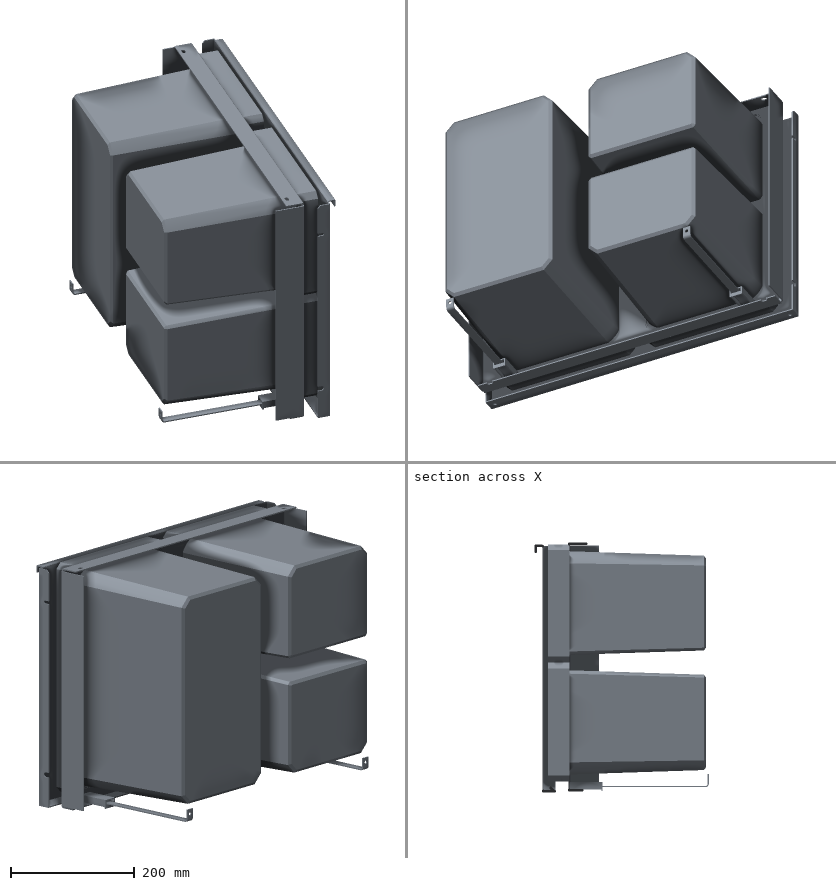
import cadquery as cq
import math

overall_width = 560.0
overall_depth = 280.5
overall_height = 402.0
sheet = 2.0
top_z = overall_height / 2
bottom_z = -overall_height / 2
back_y = overall_depth / 2
front_y = -overall_depth / 2

panel_back_y = 129.0
panel_flange_y = 107.5
panel_top_z = 196.0
panel_bend = 1.5
flange_corner = 4.5
hook_width = 544.5
hook_top_z = 197.5
hook_lip_z = 185.5
hook_root_z = 190.5
hook_bend = 4.0
lip_back_y = 116.5
notch_end_y = 117.5
notch_z_and_width = [(141.5, 5.0), (-147.0, 8.5)]
drain_x = 269.0
drain_y = 119.0
drain_diameter = 5.5

frame_width = 549.0
frame_back_y = 87.0
frame_face_y = frame_back_y - sheet
frame_bend = 4.0
bar_bend = 1.5
strap_front_y = 37.5
strap_top_z = 197.0
strap_bottom_z = -195.5
bar_width = 541.0
bar_front_y = 56.5
foot_front_y = 63.0
foot_bottom_z = -199.5
bar_slot_x = 250.0
bar_slot_y = 65.0
bar_slot_length = 10.0
bar_slot_width = 6.0

bin_x = 130.5
collar_width = 233.0
collar_back_y = 119.0
collar_top_z = top_z - sheet
collar_bottom_z = -184.0
collar_split_z = 8.0
collar_chamfer = 9.5
window_width = 215.0
window_top_z = 191.5
window_bottom_z = -177.5
window_radius = 21.0
window_step = 2.0
bin_width = 209.5
bin_draft = 7.0
bin_outer_margin = 11.0
bin_inner_margin = 12.5
bin_floor_y = -136.0
outer_mouth_corner = 19.5
inner_mouth_corner = 5.5
outer_floor_corner = 15.5
inner_floor_corner = 4.5
corner_arc_inset = 0.42
floor_corner_loss = 3.5
floor_bevel_side = 5.0
floor_bevel_depth = 3.65

guide_x = 215.5
rail_width = 13.5
rail_top_z = -191.5
rail_bottom_z = rail_top_z - sheet
rail_tab_top_z = -172.5
rail_bend = 5.5
rail_hole_z = -180.5
rail_hole_diameter = 5.5
holder_width = 22.5
holder_top_z = -185.5
holder_front_y = 31.5
holder_bottom_z = foot_bottom_z + sheet
holder_sill_bottom_z = -200.0


def block(x_range, y_range, z_range):
    """Box between the given limits."""
    size = [high - low for low, high in (x_range, y_range, z_range)]
    return cq.Workplane("XY").box(*size, centered=False).translate((x_range[0], y_range[0], z_range[0]))


def centred(width, middle=0.0):
    """Limits of a span of the given width."""
    return (middle - width / 2, middle + width / 2)


def side_profile(points, width):
    """Extrude a closed (y, z) outline along X, centred on X = 0."""
    return cq.Workplane("YZ").polyline(points).close().extrude(width / 2, both=True)


def make_panel():
    side_z = (bottom_z, panel_top_z)
    panel = block(centred(overall_width), (panel_flange_y, panel_back_y), side_z)
    panel = panel.edges(">Y and |Z").fillet(panel_bend)
    inside = block(
        centred(overall_width - 2 * sheet),
        (panel_flange_y, panel_back_y - sheet),
        side_z,
    )
    panel = panel.edges("|X and <Y and >Z").chamfer(flange_corner).cut(inside)

    shelf_top_z = bottom_z + sheet
    shelf = block(
        centred(overall_width - 2 * sheet),
        (panel_flange_y, panel_back_y - sheet),
        (bottom_z, shelf_top_z),
    )
    lip_run = lip_back_y - panel_flange_y
    lip_step = sheet * math.sqrt(2)
    lip = side_profile(
        [
            (panel_flange_y, bottom_z),
            (lip_back_y, bottom_z + lip_run),
            (lip_back_y, bottom_z + lip_run - lip_step),
            (panel_flange_y + lip_step, bottom_z),
        ],
        overall_width,
    )
    hook = side_profile(
        [
            (panel_back_y - sheet, hook_root_z),
            (panel_back_y - sheet, hook_top_z),
            (back_y, hook_top_z),
            (back_y, hook_lip_z),
            (back_y - sheet, hook_lip_z),
            (back_y - sheet, hook_top_z - sheet),
            (panel_back_y, hook_top_z - sheet),
            (panel_back_y, hook_root_z),
        ],
        hook_width,
    )
    hook = hook.edges("|X and >Z and <Y").fillet(hook_bend)
    hook = hook.edges("|X and >Z and >Y").fillet(panel_bend)
    panel = panel.union(shelf).union(lip).union(hook)

    for z, width in notch_z_and_width:
        centre_y = notch_end_y - width / 2
        notch = cq.Workplane("YZ").center(centre_y, z).circle(width / 2).extrude(overall_width, both=True)
        mouth = block(centred(overall_width), (panel_flange_y, centre_y), centred(width, z))
        panel = panel.cut(notch).cut(mouth)

    drains = (
        cq.Workplane("XY", origin=(0, 0, bottom_z))
        .pushPoints([(-drain_x, drain_y), (drain_x, drain_y)])
        .circle(drain_diameter / 2)
        .extrude(sheet)
    )
    return panel.cut(drains)


def make_collar(side, z_range):
    """Outer block of a bin collar with chamfered corners."""
    collar = block(centred(collar_width, side * bin_x), (frame_face_y, collar_back_y), z_range)
    return collar.edges("|Y").chamfer(collar_chamfer)


def make_window(side):
    """Rounded opening as deep as the frame plate, narrowing by a step halfway in."""
    step_y = (frame_face_y + frame_back_y) / 2
    window = cq.Workplane()
    for inset, deep_y in [(0, step_y), (window_step, frame_back_y)]:
        opening = block(
            centred(window_width - 2 * inset, side * bin_x),
            (frame_face_y, deep_y),
            (window_bottom_z + inset, window_top_z - inset),
        )
        window = window.add(opening.edges("|Y").fillet(window_radius - inset))
    return window.combine()


def make_frame(collars, windows):
    inner_bend = frame_bend - sheet
    frame = block(
        centred(frame_width), (strap_front_y, frame_back_y), (strap_bottom_z, strap_top_z)
    ).edges("|Z and >Y").fillet(frame_bend)
    bars = block(
        centred(bar_width), (bar_front_y, frame_back_y), (foot_bottom_z, top_z)
    ).edges("|X and >Y").fillet(bar_bend)
    inside = block(
        centred(frame_width - 2 * sheet),
        (bar_front_y, frame_face_y),
        (foot_bottom_z + sheet, top_z - sheet),
    )
    between_straps = block(
        centred(frame_width - 2 * sheet),
        (strap_front_y, frame_face_y),
        (strap_bottom_z, strap_top_z),
    ).edges("|Z and >Y").fillet(inner_bend)
    foot_trim = block(
        centred(bar_width), (bar_front_y, foot_front_y), (foot_bottom_z, foot_bottom_z + sheet)
    )
    frame = frame.cut(between_straps).union(bars.cut(inside).cut(foot_trim))

    slots = (
        cq.Workplane("XY", origin=(0, 0, foot_bottom_z))
        .pushPoints([(-bar_slot_x, bar_slot_y), (bar_slot_x, bar_slot_y)])
        .slot2D(bar_slot_length, bar_slot_width)
        .extrude(overall_height)
    )
    frame = frame.cut(slots)
    for opening in collars + windows:
        frame = frame.cut(opening)
    return frame


def bin_section(y, x_range, z_range, corners, bulging):
    """Rectangle across the bin at y. corners holds the lower and upper corner sizes;
    the corners are shallow arcs if bulging, otherwise flat cuts."""
    low_x, high_x = x_range
    low_z, high_z = z_range
    low_cut, high_cut = corners
    corner_data = [
        (low_x, low_z, low_cut, (0, 1), (1, 0)),
        (high_x, low_z, low_cut, (-1, 0), (0, 1)),
        (high_x, high_z, high_cut, (0, -1), (-1, 0)),
        (low_x, high_z, high_cut, (1, 0), (0, -1)),
    ]
    corner_edges = []
    for x, z, size, before, after in corner_data:
        start = cq.Vector(x + before[0] * size, y, z + before[1] * size)
        end = cq.Vector(x + after[0] * size, y, z + after[1] * size)
        if bulging:
            arc_inset = size * corner_arc_inset
            halfway = cq.Vector(
                x + (before[0] + after[0]) * arc_inset, y, z + (before[1] + after[1]) * arc_inset
            )
            corner_edges.append(cq.Edge.makeThreePointArc(start, halfway, end))
        else:
            corner_edges.append(cq.Edge.makeLine(start, end))
    edges = []
    for index, corner in enumerate(corner_edges):
        following = corner_edges[(index + 1) % len(corner_edges)]
        edges += [corner, cq.Edge.makeLine(corner.endPoint(), following.startPoint())]
    return cq.Wire.assembleEdges(edges)


def make_bin(side, collar, wall_z, mouth_corners, floor_corners):
    """Solid tapered bin: bulging corners at the collar run out to flat corners at the bevelled floor."""
    def section(y, inset, corners, bulging=False):
        x_range = centred(bin_width - 2 * inset, side * bin_x)
        z_range = (wall_z[0] + inset, wall_z[1] - inset)
        return bin_section(y, x_range, z_range, corners, bulging)

    shoulder_y = bin_floor_y + floor_bevel_depth
    floor_inset = bin_draft + floor_bevel_side
    bevelled_corners = [size - floor_corner_loss for size in floor_corners]
    body = cq.Solid.makeLoft(
        [
            section(frame_back_y, 0, mouth_corners, bulging=True),
            section(shoulder_y, bin_draft, floor_corners),
            section(bin_floor_y, floor_inset, bevelled_corners),
        ],
        True,
    )
    return collar.cut(make_window(side)).union(cq.Workplane(body))


def make_rail(side):
    """Flat rail whose front end is bent up into a tab with a hole."""
    x = side * guide_x
    rail = block(centred(rail_width, x), (front_y, frame_face_y), (rail_bottom_z, rail_tab_top_z))
    rail = rail.edges("|X and <Y and <Z").fillet(rail_bend)
    above = block(
        centred(rail_width, x), (front_y + sheet, frame_face_y), (rail_top_z, rail_tab_top_z)
    ).edges("|X and <Y and <Z").fillet(rail_bend - sheet)
    hole = (
        cq.Workplane("XZ", origin=(x, front_y + sheet, rail_hole_z))
        .circle(rail_hole_diameter / 2)
        .extrude(sheet)
    )
    return rail.cut(above).cut(hole)


def make_holder(side):
    """Upside-down channel over the rail, with a sill under the rail at its front end."""
    x = side * guide_x
    y_range = (holder_front_y, frame_face_y)
    holder = block(centred(holder_width, x), y_range, (holder_bottom_z, holder_top_z))
    inside = block(
        centred(holder_width - 2 * sheet, x), y_range, (holder_bottom_z, holder_top_z - sheet)
    )
    sill = block(
        centred(holder_width, x),
        (holder_front_y, holder_front_y + sheet),
        (holder_sill_bottom_z, rail_bottom_z),
    )
    return holder.cut(inside).union(sill)


left, right = -1, 1
full_span = (collar_bottom_z, collar_top_z)
lower_span = (collar_bottom_z, collar_split_z)
upper_span = (collar_split_z, collar_top_z)
wall_bottom = collar_bottom_z + bin_outer_margin
wall_top = collar_top_z - bin_outer_margin

bin_layout = [
    (
        left,
        full_span,
        (wall_bottom, wall_top),
        (outer_mouth_corner, outer_mouth_corner),
        (outer_floor_corner, outer_floor_corner),
    ),
    (
        right,
        lower_span,
        (wall_bottom, collar_split_z - bin_inner_margin),
        (outer_mouth_corner, inner_mouth_corner),
        (outer_floor_corner, inner_floor_corner),
    ),
    (
        right,
        upper_span,
        (collar_split_z + bin_inner_margin, wall_top),
        (inner_mouth_corner, outer_mouth_corner),
        (inner_floor_corner, outer_floor_corner),
    ),
]

panel = make_panel()
collars = [make_collar(side, span) for side, span, *_ in bin_layout]
frame = make_frame(collars, [make_window(left), make_window(right)])
bins = [
    make_bin(side, collar, wall_z, mouth_corners, floor_corners)
    for collar, (side, _, wall_z, mouth_corners, floor_corners) in zip(collars, bin_layout)
]
rails = [make_rail(side) for side in (left, right)]
holders = [make_holder(side) for side in (left, right)]

bodies = [panel, frame] + bins + rails + holders
result = cq.Compound.makeCompound([body.solids().val() for body in bodies])